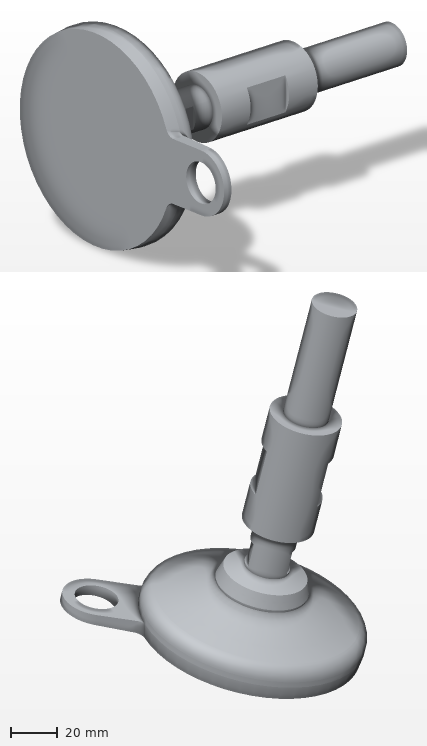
import cadquery as cq
import math


pad_radius = 50.0
floor_radius = 49.1
skirt_height = 6.3
rim_height = 9.0
shoulder_radius = 7.0
slope_angle = math.radians(20)
neck_radius = 20.2
neck_base = 25.3
slope_top_radius = 22.6
pad_height = 26.7

tab_hole_x = 68.0
tab_radius = 15.0
tab_hole_diameter = 19.0
tab_root_fillet = 5.0
tab_root_thickness = 6.0
tab_tip_thickness = 4.2

head_radius = 20.5
head_shoulder_radius = 18.5
head_shoulder_y = 33.2
head_top = 35.9
stud_diameter = 20.0
stud_end = 170.0
stud_flat_start = 37.0
stud_flat_length = 11.4
stud_flat_width = 17.0

sleeve_diameter = 32.0
sleeve_start = 58.3
sleeve_length = 55.0
sleeve_flat_length = 22.1
sleeve_flat_width = 27.0


def revolve_about_y(profile):
    return profile.close().revolve(360, (0, 0, 0), (0, 1, 0))


def make_pad_disc():
    arc_center_radius = pad_radius - shoulder_radius
    mid_angle = (math.pi / 2 - slope_angle) / 2
    arc_mid = (arc_center_radius + shoulder_radius * math.cos(mid_angle),
               rim_height + shoulder_radius * math.sin(mid_angle))
    slope_start = (arc_center_radius + shoulder_radius * math.sin(slope_angle),
                   rim_height + shoulder_radius * math.cos(slope_angle))
    slope_run = slope_start[0] - slope_top_radius
    slope_end = (slope_top_radius, slope_start[1] + slope_run * math.tan(slope_angle))
    profile = (
        cq.Workplane("XY")
        .lineTo(floor_radius, 0)
        .lineTo(pad_radius, skirt_height)
        .lineTo(pad_radius, rim_height)
        .threePointArc(arc_mid, slope_start)
        .lineTo(*slope_end)
        .tangentArcPoint((neck_radius, neck_base), relative=False)
        .lineTo(neck_radius, pad_height)
        .lineTo(0, pad_height)
    )
    return revolve_about_y(profile)


def make_tab():
    fillet_z = tab_radius + tab_root_fillet
    center_distance = floor_radius + tab_root_fillet
    fillet_x = math.sqrt(center_distance**2 - fillet_z**2)
    floor_ratio = floor_radius / center_distance
    root = (fillet_x * floor_ratio, fillet_z * floor_ratio)
    root_angle = math.atan2(fillet_z, fillet_x)
    mid_angle = (root_angle + math.pi / 2) / 2
    fillet_mid = (fillet_x - tab_root_fillet * math.cos(mid_angle),
                  fillet_z - tab_root_fillet * math.sin(mid_angle))
    tip_x = tab_hole_x + tab_radius
    outline = (
        cq.Workplane("XZ")
        .lineTo(*root)
        .threePointArc(fillet_mid, (fillet_x, tab_radius))
        .lineTo(tab_hole_x, tab_radius)
        .threePointArc((tip_x, 0), (tab_hole_x, -tab_radius))
        .lineTo(fillet_x, -tab_radius)
        .threePointArc((fillet_mid[0], -fillet_mid[1]), (root[0], -root[1]))
        .close()
        .extrude(-pad_height)
    )
    wedge = (
        cq.Workplane("XY")
        .polyline([(0, 0), (tip_x, 0), (tip_x, tab_tip_thickness),
                   (floor_radius, tab_root_thickness), (0, tab_root_thickness)])
        .close()
        .extrude(pad_radius, both=True)
    )
    return outline.intersect(wedge)


def wrench_flats(shaft_diameter, width, start, length):
    """Two blocks to cut away, leaving flats that face -X and +X."""
    offset = (width + shaft_diameter) / 2
    return (
        cq.Workplane("XY")
        .pushPoints([(-offset, start + length / 2), (offset, start + length / 2)])
        .rect(shaft_diameter, length)
        .extrude(shaft_diameter, both=True)
    )


def make_spindle():
    stud_radius = stud_diameter / 2
    profile = (
        cq.Workplane("XY")
        .moveTo(0, pad_height)
        .lineTo(head_radius, pad_height)
        .lineTo(head_shoulder_radius, head_shoulder_y)
        .lineTo(stud_radius, head_top)
        .lineTo(stud_radius, stud_end)
        .lineTo(0, stud_end)
    )
    flats = wrench_flats(stud_diameter, stud_flat_width, stud_flat_start, stud_flat_length)
    return revolve_about_y(profile).cut(flats)


def make_foot():
    hole = (
        cq.Workplane("XZ")
        .center(tab_hole_x, 0)
        .circle(tab_hole_diameter / 2)
        .extrude(-pad_height)
    )
    body = make_pad_disc().union(make_tab()).union(make_spindle())
    return body.cut(hole)


def make_sleeve():
    flat_start = sleeve_start + (sleeve_length - sleeve_flat_length) / 2
    flats = wrench_flats(sleeve_diameter, sleeve_flat_width, flat_start, sleeve_flat_length)
    tube = (
        cq.Workplane("XZ", origin=(0, sleeve_start, 0))
        .circle(sleeve_diameter / 2)
        .circle(stud_diameter / 2)
        .extrude(-sleeve_length)
    )
    return tube.cut(flats)


foot = make_foot().solids()
sleeve = make_sleeve().solids()
result = cq.Compound.makeCompound([foot.val(), sleeve.val()])